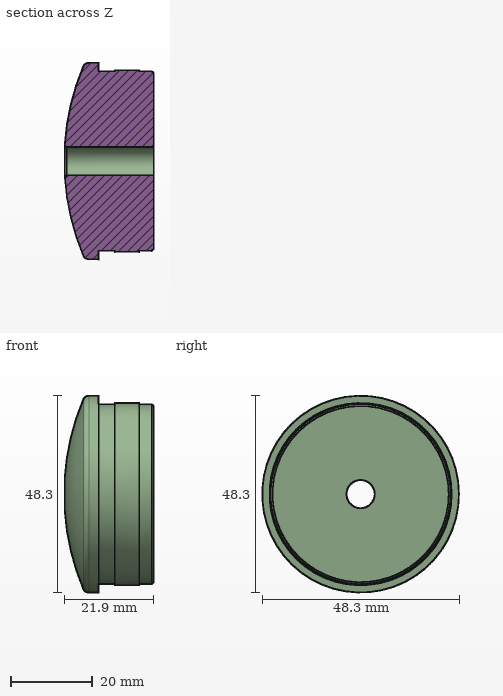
import cadquery as cq
import math


overall_length = 21.9

spigot_length = 13.5
spigot_radius = 44.15 / 2
spigot_chamfer = 0.5

band_radius = 44.73 / 2
band_start = 3.95
band_width = 6.0
band_end = band_start + band_width

flange_radius = 48.3 / 2
dome_radius = 59.9
rim_fillet = 1.45

hole_radius = 6.85 / 2
hole_bevel = 0.5
mouth_radius = hole_radius + hole_bevel
mouth_x = spigot_length - overall_length

dome_center_x = mouth_x + math.sqrt(dome_radius**2 - mouth_radius**2)

fillet_center_radius = flange_radius - rim_fillet
fillet_offset = dome_radius - rim_fillet
fillet_center_x = dome_center_x - math.sqrt(fillet_offset**2 - fillet_center_radius**2)
dome_edge_angle = math.asin(fillet_center_radius / fillet_offset)


def dome_point(angle):
    """Point of the dome section at an angle from the -X direction, as (x, radius)."""
    return (
        dome_center_x - dome_radius * math.cos(angle),
        dome_radius * math.sin(angle),
    )


def fillet_point(angle):
    """Point of the rim fillet at an angle from the -X direction, as (x, radius)."""
    return (
        fillet_center_x - rim_fillet * math.cos(angle),
        fillet_center_radius + rim_fillet * math.sin(angle),
    )


mouth_angle = math.asin(mouth_radius / dome_radius)
rim_angle = math.pi / 2

section = (
    cq.Workplane("XY")
    .moveTo(mouth_x + hole_bevel, hole_radius)
    .lineTo(mouth_x, mouth_radius)
    .threePointArc(dome_point((mouth_angle + dome_edge_angle) / 2), dome_point(dome_edge_angle))
    .threePointArc(fillet_point((dome_edge_angle + rim_angle) / 2), fillet_point(rim_angle))
    .lineTo(0, flange_radius)
    .lineTo(0, spigot_radius)
    .lineTo(band_start, spigot_radius)
    .lineTo(band_start, band_radius)
    .lineTo(band_end, band_radius)
    .lineTo(band_end, spigot_radius)
    .lineTo(spigot_length - spigot_chamfer, spigot_radius)
    .lineTo(spigot_length, spigot_radius - spigot_chamfer)
    .lineTo(spigot_length, hole_radius)
    .close()
)

result = section.revolve(360, (0, 0, 0), (1, 0, 0))